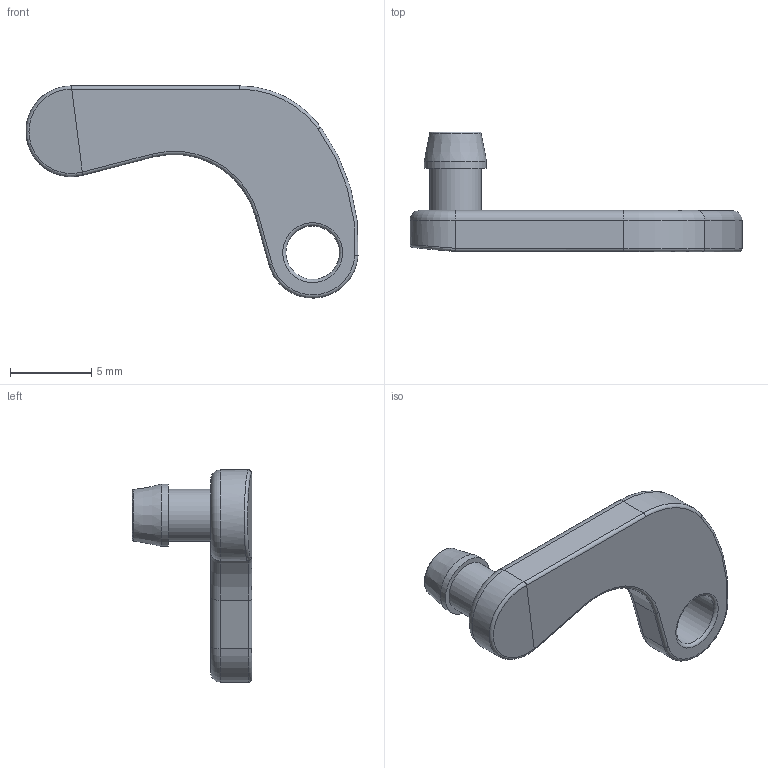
import cadquery as cq
import math


plate_thickness = 2.54
end_radius = 2.8
pivot_x = 14.87
pivot_z = -7.48
lower_edge_slope = 14.5
side_edge_slope = 15.5
inner_radius = 5.2
top_edge_end = 10.38
shoulder_radius = 6.17
shoulder_end_angle = 36.0
front_fillet = 0.2
back_fillet = 0.6
bevel_angle = 5.0
match_tolerance = 0.01

hole_radius = 1.65

peg_length = 4.83
shaft_radius = 1.6
shaft_length = 2.6
collar_radius = 1.92
collar_length = 0.44
tip_radius = 1.57
tip_fillet = 0.1


def polar(center, radius, angle):
    """Point at an angle in degrees from +X on a circle in the XZ plane."""
    turn = math.radians(angle)
    return (center[0] + radius * math.cos(turn), center[1] + radius * math.sin(turn))


peg_center = (0.0, 0.0)
pivot_center = (pivot_x, pivot_z)
head_top = (0.0, end_radius)
lower_edge_angle = lower_edge_slope - 90
side_edge_angle = 180 + side_edge_slope
shoulder_center = (top_edge_end, end_radius - shoulder_radius)
head_bottom = polar(peg_center, end_radius, lower_edge_angle)


def outer_arc():
    """Centre and radius of the outer arc, tangent to the shoulder arc and the pivot end."""
    joint = polar(shoulder_center, shoulder_radius, shoulder_end_angle)
    dx = joint[0] - pivot_x
    dz = joint[1] - pivot_z
    turn = math.radians(shoulder_end_angle)
    along = dx * math.cos(turn) + dz * math.sin(turn)
    radius = (dx**2 + dz**2 - end_radius**2) / (2 * (along - end_radius))
    return polar(joint, -radius, shoulder_end_angle), radius


def inner_arc_center():
    """Centre of the arc tangent to both inner edges."""
    lower = math.radians(lower_edge_angle)
    side = math.radians(side_edge_angle)
    lower_offset = end_radius + inner_radius
    side_offset = lower_offset + pivot_x * math.cos(side) + pivot_z * math.sin(side)
    spread = math.sin(side - lower)
    return (
        (lower_offset * math.sin(side) - side_offset * math.sin(lower)) / spread,
        (side_offset * math.cos(lower) - lower_offset * math.cos(side)) / spread,
    )


def lever_outline():
    outer_center, outer_radius = outer_arc()
    inner_center = inner_arc_center()
    outer_end_angle = math.degrees(
        math.atan2(pivot_z - outer_center[1], pivot_x - outer_center[0])
    )

    def shoulder(angle):
        return polar(shoulder_center, shoulder_radius, angle)

    def outer(angle):
        return polar(outer_center, outer_radius, angle)

    def pivot_end(angle):
        return polar(pivot_center, end_radius, angle)

    def inner(angle):
        return polar(inner_center, inner_radius, angle)

    return (
        cq.Workplane("XZ")
        .moveTo(*head_top)
        .lineTo(*shoulder(90))
        .threePointArc(shoulder((90 + shoulder_end_angle) / 2), shoulder(shoulder_end_angle))
        .threePointArc(outer((shoulder_end_angle + outer_end_angle) / 2), outer(outer_end_angle))
        .threePointArc(pivot_end(-90), pivot_end(side_edge_angle))
        .lineTo(*inner(side_edge_slope))
        .threePointArc(inner((side_edge_angle + lower_edge_angle) / 2), inner(lower_edge_slope + 90))
        .lineTo(*head_bottom)
        .threePointArc((-end_radius, 0), head_top)
        .close()
    )


def bevel_cutter():
    """Wedge hinged on the line between the ends of the head's round outline."""
    top = cq.Vector(head_top[0], 0, head_top[1])
    bottom = cq.Vector(head_bottom[0], 0, head_bottom[1])
    hinge = bottom - top
    toward_head = cq.Vector(0, 1, 0).cross(hinge)
    reach = 2 * end_radius
    depth = reach * math.tan(math.radians(bevel_angle))
    plane = cq.Plane(origin=top - hinge, xDir=toward_head, normal=hinge)
    return (
        cq.Workplane(plane)
        .polyline([(0, 0), (reach, 0), (reach, depth)])
        .close()
        .extrude(3 * hinge.Length)
    )


def is_hinge(edge):
    """True for the straight edge between the flat front face and the bevel."""
    middle_x = (head_top[0] + head_bottom[0]) / 2
    middle_z = (head_top[1] + head_bottom[1]) / 2
    return (edge.Center() - cq.Vector(middle_x, 0, middle_z)).Length < match_tolerance


def lever_plate():
    plate = lever_outline().extrude(-plate_thickness)
    plate = plate.faces(">Y").edges().fillet(back_fillet)
    plate = plate.cut(bevel_cutter())
    bevel_face = plate.faces(cq.selectors.NearestToPointSelector((-end_radius / 2, 0, 0)))
    front_edges = plate.faces("<Y").edges().add(bevel_face.edges()).vals()
    rim_edges = [edge for edge in front_edges if not is_hinge(edge)]
    return plate.newObject(rim_edges).fillet(front_fillet)


def pivot_hole_cutter():
    """Through hole whose front mouth is rounded over into the front face."""
    mouth_radius = hole_radius + front_fillet
    throat = front_fillet * (1 - math.sqrt(0.5))
    profile = (
        cq.Workplane("XY", origin=(pivot_x, 0, pivot_z))
        .lineTo(mouth_radius, 0)
        .threePointArc((hole_radius + throat, throat), (hole_radius, front_fillet))
        .lineTo(hole_radius, plate_thickness)
        .lineTo(0, plate_thickness)
        .close()
    )
    return profile.revolve(360, (0, 0, 0), (0, 1, 0))


def snap_peg():
    collar_end = shaft_length + collar_length
    profile = (
        cq.Workplane("XY", origin=(0, plate_thickness, 0))
        .lineTo(shaft_radius, 0)
        .lineTo(shaft_radius, shaft_length)
        .lineTo(collar_radius, shaft_length)
        .lineTo(collar_radius, collar_end)
        .lineTo(tip_radius, peg_length)
        .lineTo(0, peg_length)
        .close()
    )
    peg = profile.revolve(360, (0, 0, 0), (0, 1, 0))
    return peg.faces(">Y").edges().fillet(tip_fillet)


result = lever_plate().cut(pivot_hole_cutter()).union(snap_peg())